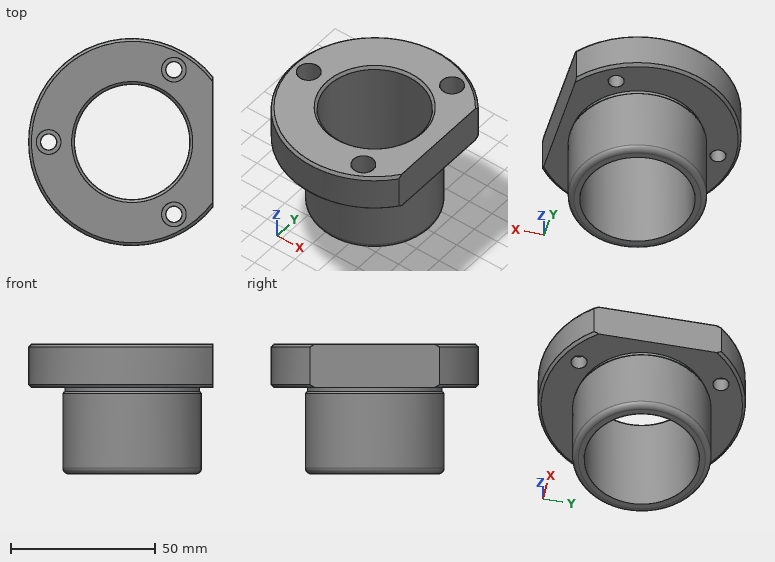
import cadquery as cq

flange_diameter = 71.9
flange_height = 15.0
flange_chamfer = 1.0
flat_distance = 28.05

total_height = 45.0
sleeve_diameter = 48.1
sleeve_top_chamfer = 0.65
sleeve_bottom_fillet = 2.0
relief_diameter = sleeve_diameter - 2 * sleeve_top_chamfer
relief_height = 1.4

bore_diameter = 40.0
bore_chamfer = 1.0

screw_count = 3
screw_circle_radius = 29.0
screw_hole_diameter = 5.55
counterbore_diameter = 8.55
counterbore_depth = 8.6

flange_bottom = total_height - flange_height
sleeve_height = flange_bottom - relief_height


def make_flange():
    """Chamfered disc with one side cut flat."""
    disc = (
        cq.Workplane("XY", origin=(0, 0, flange_bottom))
        .circle(flange_diameter / 2)
        .extrude(flange_height)
        .edges()
        .chamfer(flange_chamfer)
    )
    beyond_flat = (
        cq.Workplane("XY", origin=(flat_distance, 0, flange_bottom))
        .box(flange_diameter, flange_diameter, flange_height, centered=(False, True, False))
    )
    return disc.cut(beyond_flat)


def make_sleeve():
    """Guide sleeve with a rounded lower end and a relief groove under the flange."""
    sleeve = (
        cq.Workplane("XY")
        .circle(sleeve_diameter / 2)
        .extrude(sleeve_height)
        .faces(">Z").edges().chamfer(sleeve_top_chamfer)
        .faces("<Z").edges().fillet(sleeve_bottom_fillet)
    )
    relief = (
        cq.Workplane("XY", origin=(0, 0, sleeve_height))
        .circle(relief_diameter / 2)
        .extrude(relief_height)
    )
    return sleeve.union(relief)


def cut_bore(body):
    """Through bore, chamfered at the flange face."""
    bore_radius = bore_diameter / 2
    bore = cq.Workplane("XY").circle(bore_radius).extrude(total_height)
    mouth = cq.Workplane("XY").add(
        cq.Solid.makeCone(
            bore_radius,
            bore_radius + bore_chamfer,
            bore_chamfer,
            pnt=cq.Vector(0, 0, total_height - bore_chamfer),
        )
    )
    return body.cut(bore).cut(mouth)


def cut_screw_holes(body):
    """Screw holes evenly spaced about the axis, the first one on the -X side."""
    return (
        body.faces(">Z")
        .workplane(origin=(0, 0, total_height))
        .polarArray(screw_circle_radius, 180, 360, screw_count)
        .cboreHole(screw_hole_diameter, counterbore_diameter, counterbore_depth)
    )


result = cut_screw_holes(cut_bore(make_flange().union(make_sleeve())))